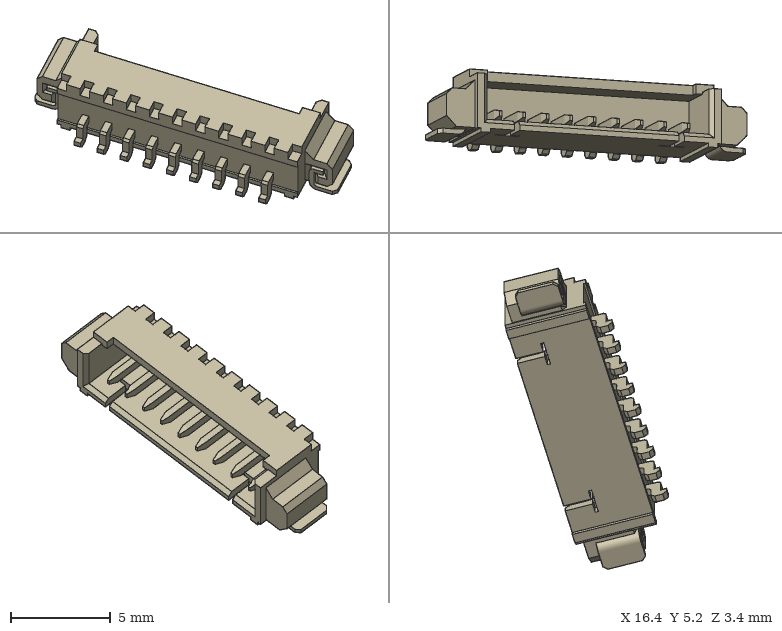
import cadquery as cq


body_width = 13.0
body_depth = 4.2
body_top = 3.4
body_bottom = 0.2
half_width = body_width / 2
end_wall_top = 3.0
lid_side_edge_y = 3.06
lid_edge_y = 2.61
lid_recess_half_width = 5.54
recess_depth = 0.1
recess_bottom = 0.5
recess_top = 2.5
rib_width = 0.5
rib_center = 6.05

cavity_half_width = 5.9
cavity_front_y = 1.0
cavity_floor = 0.7
lid_thickness = 0.5
lead_in = 0.22
cavity_ceiling = body_top - lid_thickness
opening_end_y = 2.77
slot_width = 0.28

pin_count = 9
pitch = 1.25
pin_width = 0.36
pin_bottom = 0.9
pin_top = 1.39
pin_tip_y = 3.5
pin_shoulder_y = 3.02
pin_tip_width = 0.13
pin_tip_height = 0.25
tail_front_y = -0.69
tail_back_y = -0.18
tail_toe_y = -1.0
tail_toe_top = 0.5
tail_chamfer = 0.2
tail_bend_radius = 0.2
tail_corner_drop = 0.12
tail_corner_setback = 0.12
row_half_length = pitch * (pin_count - 1) / 2
pin_positions = [i * pitch - row_half_length for i in range(pin_count)]

notch_width = 0.5
notch_depth = 0.6
notch_height = 0.5

arm_front_y = 1.0
arm_back_y = 3.82
arm_outer = 8.0
arm_bottom = 0.27
arm_ledge = 2.22
arm_ramp = 0.48
arm_top_chamfer = 0.3
arm_bottom_chamfer = 0.52

clip_reach = 8.2
clip_length = 2.23
clip_thickness = 0.25
clip_inner = 6.74
clip_hook_end = 7.48
clip_hook_top = 1.5
clip_upper_radius = 0.28
clip_inner_radius = 0.18
clip_foot_chamfer = 0.21
clip_lower_radius = clip_inner_radius + clip_thickness
clip_outer = clip_inner + clip_thickness
clip_hook_bottom = clip_hook_top - clip_thickness


def block(x0, x1, y0, y1, z0, z1):
    """Box between two opposite corners."""
    return cq.Workplane("XY").box(x1 - x0, y1 - y0, z1 - z0, centered=False).translate((x0, y0, z0))


def along_y(y):
    """Sketch plane at the given Y whose extrusions run toward +Y; its local axes are -X and Z."""
    return cq.Workplane(cq.Plane(origin=(0, y, 0), xDir=(-1, 0, 0), normal=(0, 1, 0)))


def make_shell():
    """Outer housing block with its stepped end walls, front recess and bottom ribs."""
    shell = block(-half_width, half_width, 0, body_depth, body_bottom, body_top)
    shell = shell.cut(block(-half_width, half_width, lid_side_edge_y, body_depth, end_wall_top, body_top))
    shell = shell.cut(block(-half_width, half_width, 0, recess_depth, recess_bottom, recess_top))
    for side in (-1, 1):
        x = side * rib_center - rib_width / 2
        shell = shell.union(block(x, x + rib_width, 0, body_depth, 0, body_bottom))
    return shell


def make_cavity():
    """Mating cavity, the cut-back lid edge and the bevelled cavity mouth."""
    cavity = block(-cavity_half_width, cavity_half_width, cavity_front_y, body_depth,
                   cavity_floor, cavity_ceiling)
    lid_cut = block(-lid_recess_half_width, lid_recess_half_width, lid_edge_y, body_depth,
                    cavity_ceiling, body_top)
    upper_mouth = block(-cavity_half_width, cavity_half_width, lid_side_edge_y, body_depth,
                        cavity_floor, body_top)
    mouth_bottom = cavity_floor - lead_in
    mouth_height = body_top + lead_in - mouth_bottom
    bevel = (
        cq.Workplane("XZ", origin=(0, body_depth, mouth_bottom + mouth_height / 2))
        .rect(2 * (cavity_half_width + lead_in), mouth_height)
        .extrude(lead_in, taper=45)
    )
    return cavity.union(lid_cut).union(upper_mouth).union(bevel)


def make_floor_openings():
    """T-shaped opening through the floor between the two outermost contacts of each end."""
    openings = cq.Workplane("XY")
    for side in (-1, 1):
        outer_x = side * row_half_length
        inner_x = side * (row_half_length - pitch)
        slot_x = (outer_x + inner_x) / 2
        openings = openings.add(block(min(outer_x, inner_x), max(outer_x, inner_x),
                                      lid_edge_y, opening_end_y, 0, cavity_ceiling))
        openings = openings.add(block(slot_x - slot_width / 2, slot_x + slot_width / 2,
                                      lid_edge_y, body_depth, 0, cavity_ceiling))
    return openings.combine()


def make_notches():
    """Row of notches above the contacts plus one at each top front corner."""
    corner_x = half_width - notch_width / 2
    notches = cq.Workplane("XY")
    for x in [-corner_x] + pin_positions + [corner_x]:
        notches = notches.add(block(x - notch_width / 2, x + notch_width / 2, 0, notch_depth,
                                    body_top - notch_height, body_top))
    return notches.combine()


def make_pin(x):
    """Contact with a tapered mating tip and a bent solder tail."""
    shank = (
        cq.Workplane("YZ", origin=(x - pin_width / 2, 0, 0))
        .moveTo(pin_shoulder_y, pin_top)
        .lineTo(tail_front_y + tail_corner_setback, pin_top)
        .lineTo(tail_front_y, pin_top - tail_corner_drop)
        .lineTo(tail_front_y, tail_toe_top)
        .lineTo(tail_toe_y, tail_toe_top)
        .lineTo(tail_toe_y, tail_chamfer)
        .lineTo(tail_toe_y + tail_chamfer, 0)
        .lineTo(tail_back_y - tail_chamfer, 0)
        .lineTo(tail_back_y, tail_chamfer)
        .lineTo(tail_back_y, pin_bottom - tail_bend_radius)
        .radiusArc((tail_back_y + tail_bend_radius, pin_bottom), tail_bend_radius)
        .lineTo(pin_shoulder_y, pin_bottom)
        .close()
        .extrude(pin_width)
    )
    tip = (
        along_y(pin_shoulder_y)
        .center(-x, (pin_top + pin_bottom) / 2)
        .rect(pin_width, pin_top - pin_bottom)
        .workplane(offset=pin_tip_y - pin_shoulder_y)
        .rect(pin_tip_width, pin_tip_height)
        .loft(ruled=True)
    )
    return shank.union(tip)


def make_clip():
    """Bent sheet-metal solder clip on the -X side."""
    clip = (
        along_y(arm_front_y)
        .moveTo(clip_hook_end, clip_hook_top)
        .lineTo(clip_inner + clip_upper_radius, clip_hook_top)
        .radiusArc((clip_inner, clip_hook_top - clip_upper_radius), -clip_upper_radius)
        .lineTo(clip_inner, clip_lower_radius)
        .radiusArc((clip_inner + clip_lower_radius, 0), -clip_lower_radius)
        .lineTo(clip_reach, 0)
        .lineTo(clip_reach, clip_thickness)
        .lineTo(clip_outer + clip_inner_radius, clip_thickness)
        .radiusArc((clip_outer, clip_thickness + clip_inner_radius), clip_inner_radius)
        .lineTo(clip_outer, clip_hook_bottom)
        .lineTo(clip_hook_end, clip_hook_bottom)
        .close()
        .extrude(clip_length)
    )
    return clip.edges("|Z and <X").chamfer(clip_foot_chamfer)


def clip_slot(plane, margin):
    """Outline of the hooked clip slot, grown outward by a margin and open below the arm."""
    return plane.polyline([
        (clip_hook_end + margin, clip_hook_top + margin),
        (clip_inner - margin, clip_hook_top + margin),
        (clip_inner - margin, -margin),
        (clip_outer + margin, -margin),
        (clip_outer + margin, clip_hook_bottom - margin),
        (clip_hook_end + margin, clip_hook_bottom - margin),
    ]).close()


def make_arm():
    """Side arm on the -X side with its bevelled slot and bottom edge, holding the clip."""
    arm = (
        along_y(arm_front_y)
        .polyline([
            (half_width, arm_bottom),
            (half_width, arm_ledge + arm_ramp),
            (half_width + arm_ramp, arm_ledge),
            (arm_outer - arm_top_chamfer, arm_ledge),
            (arm_outer, arm_ledge - arm_top_chamfer),
            (arm_outer, arm_bottom + arm_bottom_chamfer),
            (arm_outer - arm_bottom_chamfer, arm_bottom),
        ])
        .close()
        .extrude(arm_back_y - arm_front_y)
    )
    bottom_bevel = (
        cq.Workplane("YZ", origin=(-arm_outer, 0, 0))
        .polyline([
            (arm_front_y, arm_bottom),
            (arm_front_y, arm_bottom + lead_in),
            (arm_front_y + lead_in, arm_bottom),
        ])
        .close()
        .extrude(arm_outer - half_width)
    )
    front = along_y(arm_front_y)
    slot = clip_slot(front, 0).extrude(clip_length)
    slot_mouth = clip_slot(clip_slot(front, lead_in).workplane(offset=lead_in), 0).loft(ruled=True)
    return arm.cut(slot).cut(slot_mouth).cut(bottom_bevel).union(make_clip())


housing = make_shell().cut(make_cavity()).cut(make_floor_openings()).cut(make_notches())
for pin_x in pin_positions:
    housing = housing.union(make_pin(pin_x))
left_arm = make_arm()
result = housing.union(left_arm).union(left_arm.mirror("YZ"))